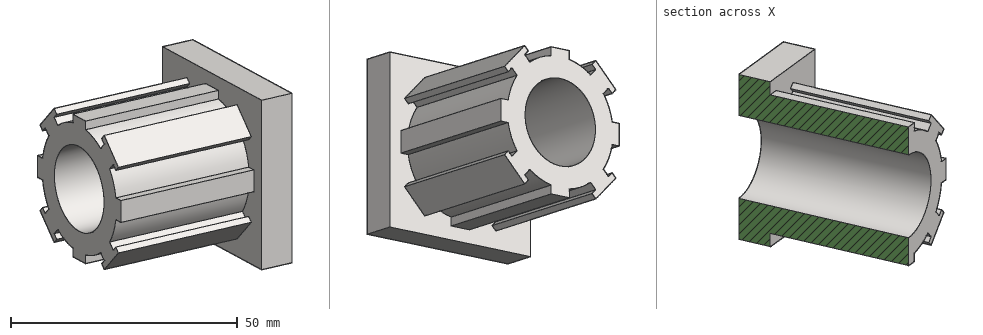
import cadquery as cq

length = 43.0
flange_side = 40.0
flange_thickness = 8.0
sleeve_length = length - flange_thickness

bore_diameter = 20.0
sleeve_diameter = 30.0

key_count = 8
key_width = 5.15
key_reach = 16.8
cap_width = 8.1
cap_thickness = 1.5


def radial_bar(width, inner, outer, angle):
    """Bar along the sleeve, from inner to outer distance off the axis."""
    bar = cq.Workplane("XY").box(
        outer - inner, sleeve_length, width, centered=(False, False, True)
    )
    return bar.translate((inner, 0, 0)).rotate((0, 0, 0), (0, 1, 0), angle)


sleeve = cq.Workplane("XZ").circle(sleeve_diameter / 2).extrude(-sleeve_length)
flange = (
    cq.Workplane("XZ", origin=(0, sleeve_length, 0))
    .rect(flange_side, flange_side)
    .extrude(-flange_thickness)
)
body = sleeve.union(flange)

key_root = (bore_diameter + sleeve_diameter) / 4
for index in range(key_count):
    angle = index * 360 / key_count
    body = body.union(radial_bar(key_width, key_root, key_reach, angle))
    if index % 2 == 1:
        cap = radial_bar(cap_width, key_reach, key_reach + cap_thickness, angle)
        body = body.union(cap)

bore = cq.Workplane("XZ").circle(bore_diameter / 2).extrude(-length)
result = body.cut(bore)